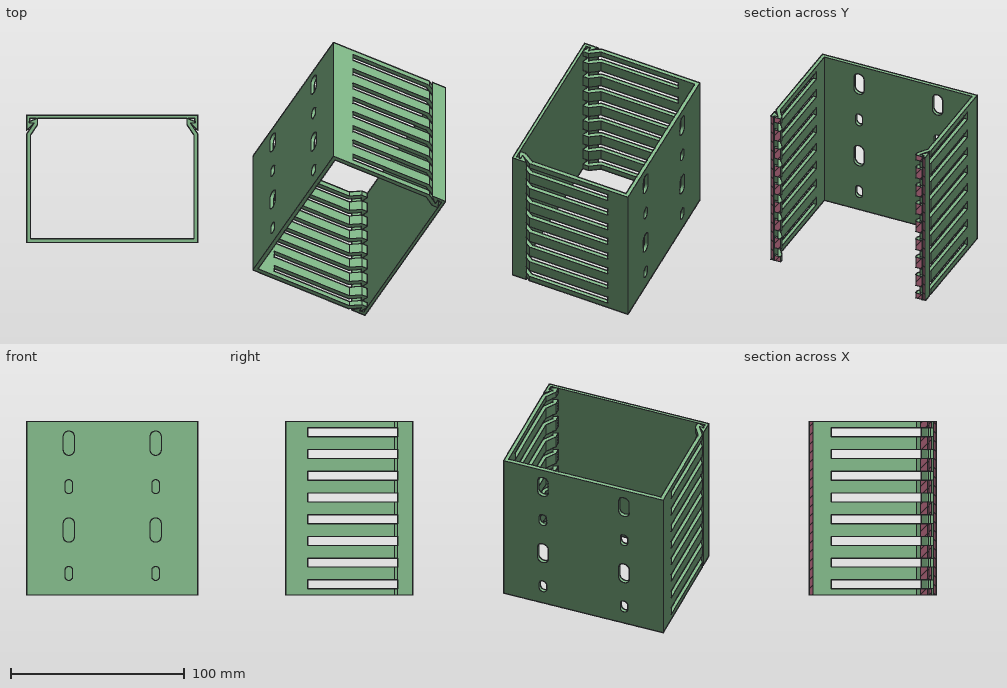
import cadquery as cq

WIDTH = 98.5
DEPTH = 73.3
LENGTH = 100.0

COVER_WALL = 1.8
SKIRT_DROP = 8.8
CATCH_INSET = 4.1
CATCH_TOP_DROP = 4.5
CATCH_TIP_DROP = SKIRT_DROP - CATCH_INSET
GROOVE_INSET = 1.6
GROOVE_TOP_DROP = 3.4

CHANNEL_WALL = 2.3
NECK_SLOPE = 1.5
NECK_OUTER_DROP = 10.7
NECK_INNER_DROP = 11.5
HEAD_INSET = 6.3
HEAD_LOW_DROP = NECK_INNER_DROP - NECK_SLOPE * (HEAD_INSET - CHANNEL_WALL)
NOSE_TOP_DROP = 3.5
PEAK_INSET = 5.9

CONTACT_INSET = (NECK_OUTER_DROP - SKIRT_DROP) / (NECK_SLOPE - 1)
CONTACT_DROP = SKIRT_DROP - CONTACT_INSET

SLOT_COUNT = 8
SLOT_WIDTH = 5.0
SLOT_PITCH = LENGTH / SLOT_COUNT
SLOT_ROOT = 12.9

HOLE_SPACING = 50.0
FIRST_HOLE_Z = 12.5
HOLE_PITCH = 25.0
SMALL_HOLE = (8.0, 4.5)
LARGE_HOLE = (14.0, 6.5)
HOLE_SIZES = [SMALL_HOLE, LARGE_HOLE, SMALL_HOLE, LARGE_HOLE]


def extrude_symmetric(left_profile):
    """Extrude along Z a section given by the (inset, drop) points of its left half."""
    left = [(inset - WIDTH / 2, DEPTH - drop) for inset, drop in left_profile]
    right = [(-x, y) for x, y in reversed(left)]
    return cq.Workplane("XY").polyline(left + right).close().extrude(LENGTH)


def side_slots():
    """Slots running in X through both side walls and up past the finger heads."""
    centers = [(0, (i + 0.5) * SLOT_PITCH) for i in range(SLOT_COUNT)]
    return (
        cq.Workplane("XZ", origin=(0, SLOT_ROOT, 0))
        .pushPoints(centers)
        .rect(WIDTH, SLOT_WIDTH)
        .extrude(SLOT_ROOT - DEPTH)
    )


def mounting_holes():
    """Two columns of Z-long slotted holes through the base."""
    holes = cq.Workplane("XZ")
    for row, (length, width) in enumerate(HOLE_SIZES):
        z = FIRST_HOLE_Z + row * HOLE_PITCH
        holes = holes.union(
            cq.Workplane("XZ")
            .pushPoints([(-HOLE_SPACING / 2, z), (HOLE_SPACING / 2, z)])
            .slot2D(length, width, 90)
            .extrude(-CHANNEL_WALL)
        )
    return holes


def make_channel():
    """U-shaped channel with slotted sides whose fingers end in snap heads."""
    left_profile = [
        (CHANNEL_WALL, DEPTH - CHANNEL_WALL),
        (CHANNEL_WALL, NECK_INNER_DROP),
        (HEAD_INSET, HEAD_LOW_DROP),
        (HEAD_INSET, COVER_WALL),
        (PEAK_INSET, COVER_WALL),
        (COVER_WALL, NOSE_TOP_DROP),
        (COVER_WALL, CATCH_TOP_DROP),
        (CATCH_INSET, CATCH_TOP_DROP),
        (CATCH_INSET, CATCH_TIP_DROP),
        (CONTACT_INSET, CONTACT_DROP),
        (0, NECK_OUTER_DROP),
        (0, DEPTH),
    ]
    return extrude_symmetric(left_profile).cut(side_slots()).cut(mounting_holes())


def make_cover():
    """Flat cover with short skirts that carry the catches."""
    left_profile = [
        (COVER_WALL, COVER_WALL),
        (COVER_WALL, GROOVE_TOP_DROP),
        (GROOVE_INSET, GROOVE_TOP_DROP),
        (GROOVE_INSET, CATCH_TOP_DROP),
        (CATCH_INSET, CATCH_TOP_DROP),
        (CATCH_INSET, CATCH_TIP_DROP),
        (0, SKIRT_DROP),
        (0, 0),
    ]
    return extrude_symmetric(left_profile)


channel = make_channel()
cover = make_cover()

result = cq.Compound.makeCompound([channel.solids().val(), cover.val()])